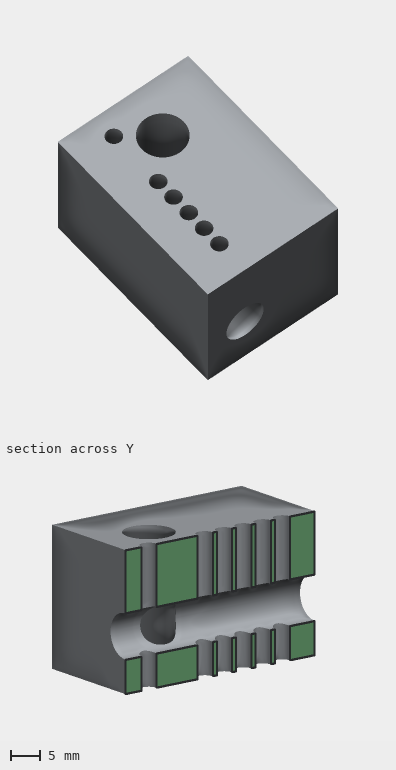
import cadquery as cq

length = 40.0
width = 28.0
height = 25.0

large_diameter = 9.0
large_x = 10.0
large_y = 14.5

bore_diameter = 8.0
bore_y = 8.0
bore_z = 10.0

small_diameter = 3.1
small_y = bore_y
single_x = 5.0
row_start_x = 16.85
row_pitch = 4.1
row_count = 5


def vertical_hole(diameter, x, y):
    """Cylinder through the full height of the block."""
    return cq.Workplane("XY").center(x, y).circle(diameter / 2).extrude(height)


def lengthwise_bore():
    """Cylinder through the full length of the block."""
    return cq.Workplane("YZ").center(bore_y, bore_z).circle(bore_diameter / 2).extrude(length)


result = cq.Workplane("XY").box(length, width, height, centered=False)
result = result.cut(lengthwise_bore())
result = result.cut(vertical_hole(large_diameter, large_x, large_y))

row_positions = [row_start_x + i * row_pitch for i in range(row_count)]
for hole_x in [single_x] + row_positions:
    result = result.cut(vertical_hole(small_diameter, hole_x, small_y))